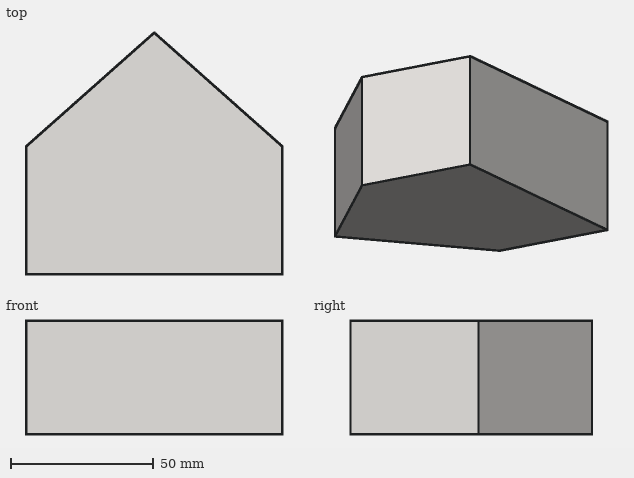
import cadquery as cq

width = 90.0
wall_length = 45.0
point_length = 40.0
height = 40.0

half_width = width / 2
total_length = wall_length + point_length

outline = [
    (-half_width, 0),
    (half_width, 0),
    (half_width, wall_length),
    (0, total_length),
    (-half_width, wall_length),
]

result = cq.Workplane("XY").polyline(outline).close().extrude(height)